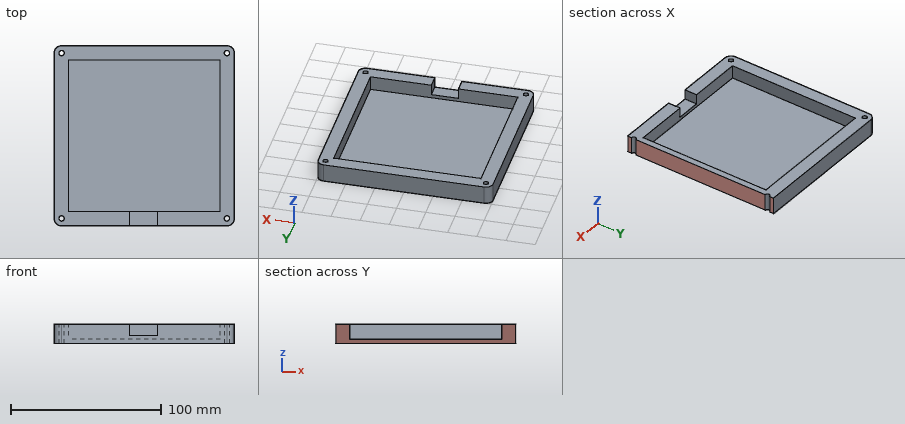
import cadquery as cq

side = 120.0
height = 13.0
corner_radius = 5.0

pocket_side = 101.0
floor_thickness = 3.0

notch_width = 18.5
notch_depth = 7.5
notch_center_x = -0.5

hole_diameter = 3.4
hole_spacing = side - 2 * corner_radius

wall_thickness = (side - pocket_side) / 2


def make_body():
    """Square block with rounded vertical edges, standing on Z = 0."""
    block = cq.Workplane("XY").box(side, side, height, centered=(True, True, False))
    return block.edges("|Z").fillet(corner_radius)


def cut_pocket(body):
    """Sink the square pocket from the top face down to the floor."""
    pocket_depth = height - floor_thickness
    pocket = (
        cq.Workplane("XY")
        .workplane(offset=floor_thickness)
        .box(pocket_side, pocket_side, pocket_depth, centered=(True, True, False))
    )
    return body.cut(pocket)


def cut_notch(body):
    """Open the -Y wall from its top edge, through to the pocket."""
    notch_center_y = -(side - wall_thickness) / 2
    notch = (
        cq.Workplane("XY")
        .box(notch_width, wall_thickness, notch_depth, centered=(True, True, False))
        .translate((notch_center_x, notch_center_y, height - notch_depth))
    )
    return body.cut(notch)


def cut_screw_holes(body):
    """Drill a through hole at each corner."""
    holes = (
        cq.Workplane("XY")
        .rect(hole_spacing, hole_spacing, forConstruction=True)
        .vertices()
        .circle(hole_diameter / 2)
        .extrude(height)
    )
    return body.cut(holes)


result = cut_screw_holes(cut_notch(cut_pocket(make_body())))